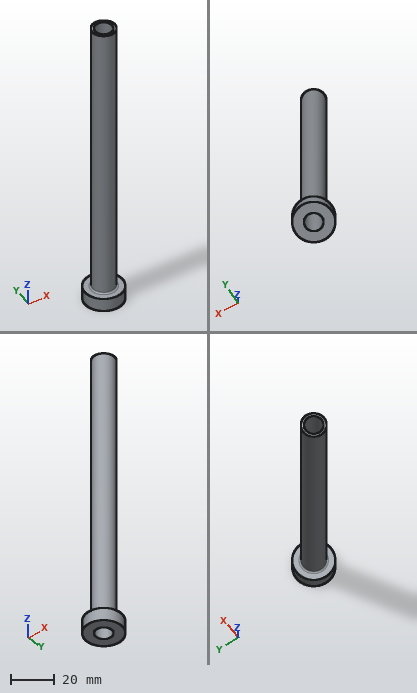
import cadquery as cq
import math

total_length = 157.0
head_diameter = 20.0
head_height = 7.0
tube_diameter = 12.0
bore_diameter = 9.0
neck_fillet_radius = 0.8

head_radius = head_diameter / 2
tube_radius = tube_diameter / 2
bore_radius = bore_diameter / 2

fillet_mid_offset = neck_fillet_radius * (1 - math.sqrt(0.5))
fillet_mid = (tube_radius + fillet_mid_offset, head_height + fillet_mid_offset)

result = (
    cq.Workplane("XZ")
    .moveTo(bore_radius, 0)
    .lineTo(head_radius, 0)
    .lineTo(head_radius, head_height)
    .lineTo(tube_radius + neck_fillet_radius, head_height)
    .threePointArc(fillet_mid, (tube_radius, head_height + neck_fillet_radius))
    .lineTo(tube_radius, total_length)
    .lineTo(bore_radius, total_length)
    .close()
    .revolve(360, (0, 0, 0), (0, 1, 0))
)